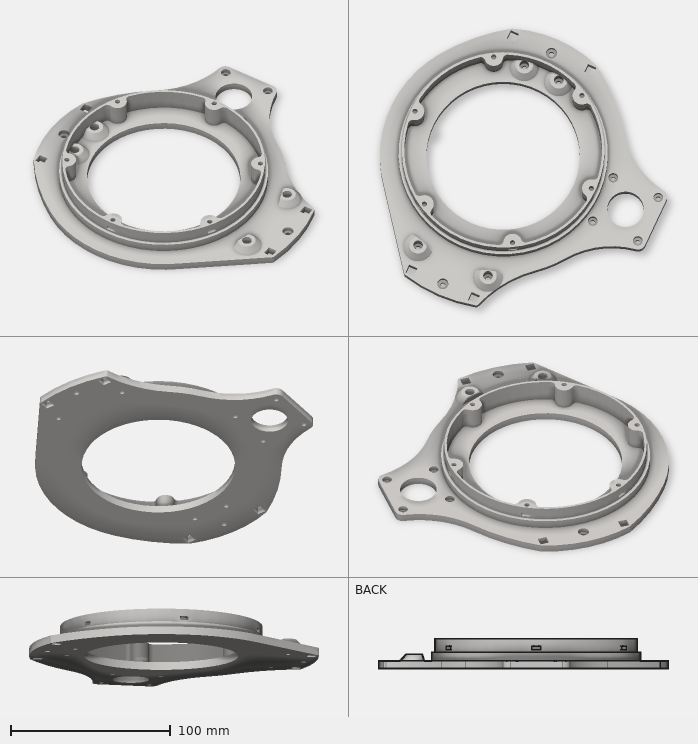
import cadquery as cq
import math

plate_height = 5.0
step_height = 10.4
total_height = 18.7
standoff_height = 9.1

rim_radius = 77.1
left_end_radius = 82.8
right_end_radius = 98.6
neck_top_y = 104.8
neck_blend_radius = 57.3
neck_blend_angle = 54.8
neck_corner_fillet = 4.7
ear_blend_radius = 74.5
ear_blend_angle = 39.7
ear_line_angle = -50.3
ear_lower_corner_angle = -14.4
ear_corner_fillet = 2.2
left_blend_radius = 129.2
left_blend_angle = 180 - neck_blend_angle

opening_diameter = 96.0
step_diameter = 130.8
ring_diameter = 126.8
ring_inner_radius = 61.9

boss_count = 6
first_boss_angle = 90
boss_circle_radius = 60.5
boss_radius = 5.8
boss_fillet = 3.0
boss_hole_diameter = 3.3
nut_slot_width = 5.6
nut_slot_bottom = 11.8
nut_slot_top = 14.2
nut_slot_inner_radius = 57.9

motor_y = 84.0
motor_opening_diameter = 23.0
motor_screw_spacing = 31.0

screw_diameter = 3.0
motor_head_diameter = 6.0
standoff_head_diameter = 6.0
end_head_diameter = 7.0
end_screw_diameter = 3.3
head_floor = 2.0
end_screw_left_x = -73.1
end_screw_right_x = 91.3

square_size = 5.6
left_square = (-73.3, 26.5)
right_square = (91.5, 21.5)

standoff_base_radius = 9.3
standoff_top_radius = 5.5
standoff_flat_offset = 3.5
left_standoff = (-58.0, 11.8)
right_standoff = (75.9, 24.0)


def polar(radius, angle):
    a = math.radians(angle)
    return (radius * math.cos(a), radius * math.sin(a))


def mirror_y(point):
    return (point[0], -point[1])


def mirror_x(point):
    return (-point[0], point[1])


def arc_middle(center, start, end):
    """Middle of the shorter arc about center from start to end."""
    radius = math.dist(center, start)
    dx = (start[0] + end[0]) / 2 - center[0]
    dy = (start[1] + end[1]) / 2 - center[1]
    scale = radius / math.hypot(dx, dy)
    return (center[0] + dx * scale, center[1] + dy * scale)


def meet_angle(center_distance, blend_radius, end_radius):
    """Angle at the origin between a blend center and the blend's point on the end circle."""
    cosine = (center_distance**2 + end_radius**2 - blend_radius**2) / (2 * center_distance * end_radius)
    return math.degrees(math.acos(cosine))


origin = (0, 0)

neck_center = polar(rim_radius + neck_blend_radius, neck_blend_angle)
neck_start = polar(rim_radius, neck_blend_angle)
neck_rise = neck_center[1] - neck_top_y
neck_corner = (neck_center[0] - math.sqrt(neck_blend_radius**2 - neck_rise**2), neck_top_y)

ear_center_distance = rim_radius + ear_blend_radius
ear_center = polar(ear_center_distance, ear_blend_angle)
ear_start = polar(rim_radius, ear_blend_angle)
ear_meet = meet_angle(ear_center_distance, ear_blend_radius, right_end_radius)
ear_upper_corner = polar(right_end_radius, ear_blend_angle - ear_meet)
ear_lower_corner = polar(right_end_radius, ear_lower_corner_angle)
ear_line_end = polar(rim_radius, ear_line_angle)

left_center_distance = left_blend_radius - rim_radius
left_center = polar(left_center_distance, left_blend_angle - 180)
left_start = polar(rim_radius, left_blend_angle)
left_meet = meet_angle(left_center_distance, left_blend_radius, left_end_radius)
left_corner = polar(left_end_radius, left_blend_angle - 180 - left_meet)


def make_plate():
    neck_middle = arc_middle(neck_center, neck_start, neck_corner)
    left_middle = arc_middle(left_center, left_start, left_corner)
    outline = (
        cq.Workplane("XY")
        .moveTo(*mirror_x(neck_corner))
        .lineTo(*neck_corner)
        .threePointArc(neck_middle, neck_start)
        .threePointArc(arc_middle(origin, neck_start, ear_start), ear_start)
        .threePointArc(arc_middle(ear_center, ear_start, ear_upper_corner), ear_upper_corner)
        .threePointArc((right_end_radius, 0), ear_lower_corner)
        .lineTo(*ear_line_end)
        .threePointArc((0, -rim_radius), mirror_y(left_start))
        .threePointArc(mirror_y(left_middle), mirror_y(left_corner))
        .threePointArc((-left_end_radius, 0), left_corner)
        .threePointArc(left_middle, left_start)
        .threePointArc(mirror_x(neck_middle), mirror_x(neck_corner))
        .close()
    )
    plate = outline.extrude(plate_height)
    corner_fillets = [
        (neck_corner, neck_corner_fillet),
        (mirror_x(neck_corner), neck_corner_fillet),
        (ear_upper_corner, ear_corner_fillet),
        (ear_lower_corner, ear_corner_fillet),
    ]
    for (x, y), radius in corner_fillets:
        corner = cq.NearestToPointSelector((x, y, plate_height / 2))
        plate = plate.edges("|Z").edges(corner).fillet(radius)
    return plate


def make_ring():
    """Stepped ring wall with the screw bosses blended into its inside."""
    step = cq.Workplane("XY").circle(step_diameter / 2).extrude(step_height)
    wall = cq.Workplane("XY").circle(ring_diameter / 2).extrude(total_height)
    cavity = (
        cq.Workplane("XY").workplane(offset=plate_height)
        .circle(ring_inner_radius).extrude(total_height)
    )
    bosses = (
        cq.Workplane("XY").workplane(offset=plate_height)
        .polarArray(boss_circle_radius, first_boss_angle, 360, boss_count)
        .circle(boss_radius).extrude(total_height)
    )
    cavity = cavity.cut(bosses).edges("|Z").fillet(boss_fillet)
    return step.union(wall).cut(cavity)


def cut_boss_holes(body):
    """Screw hole in each boss, down to a nut slot open to the outside of the ring."""
    slot_length = step_diameter / 2 - nut_slot_inner_radius
    slot_height = nut_slot_top - nut_slot_bottom
    slot = (
        cq.Workplane("XY")
        .box(slot_length, nut_slot_width, slot_height, centered=(False, True, False))
        .translate((nut_slot_inner_radius, 0, nut_slot_bottom))
    )
    hole = (
        cq.Workplane("XY").workplane(offset=nut_slot_bottom)
        .center(boss_circle_radius, 0)
        .circle(boss_hole_diameter / 2).extrude(total_height - nut_slot_bottom)
    )
    cutter = slot.union(hole)
    for i in range(boss_count):
        angle = first_boss_angle + i * 360 / boss_count
        body = body.cut(cutter.rotate((0, 0, 0), (0, 0, 1), angle))
    return body


def make_standoff(center, flat_angle):
    """Cone with a flat on its -X side, turned by flat_angle about the cone's axis."""
    cone_height = standoff_height - plate_height
    cone = (
        cq.Workplane("XY").circle(standoff_base_radius)
        .workplane(offset=cone_height).circle(standoff_top_radius).loft()
    )
    base_diameter = 2 * standoff_base_radius
    flat_side = (
        cq.Workplane("XY")
        .box(base_diameter, base_diameter, cone_height, centered=(False, True, False))
        .translate((-standoff_flat_offset - base_diameter, 0, 0))
    )
    return (
        cone.cut(flat_side)
        .rotate((0, 0, 0), (0, 0, 1), flat_angle)
        .translate((center[0], center[1], plate_height))
    )


def cut_screws(body, points, top, diameter, head_diameter):
    """Counterbored holes from the height top down through the plate."""
    through = cq.Workplane("XY").pushPoints(points).circle(diameter / 2).extrude(top)
    heads = (
        cq.Workplane("XY").workplane(offset=head_floor)
        .pushPoints(points).circle(head_diameter / 2).extrude(top - head_floor)
    )
    return body.cut(through).cut(heads)


result = make_plate().union(make_ring())
right_flat_angle = math.degrees(math.atan2(right_standoff[1], right_standoff[0]))
standoffs = [
    (left_standoff, 0),
    (mirror_y(left_standoff), 0),
    (right_standoff, right_flat_angle),
    (mirror_y(right_standoff), -right_flat_angle),
]
for center, flat_angle in standoffs:
    result = result.union(make_standoff(center, flat_angle))

result = result.cut(cq.Workplane("XY").circle(opening_diameter / 2).extrude(total_height))
motor_opening = cq.Workplane("XY").center(0, motor_y).circle(motor_opening_diameter / 2)
result = result.cut(motor_opening.extrude(plate_height))

result = cut_boss_holes(result)
half_spacing = motor_screw_spacing / 2
motor_points = [(sx * half_spacing, motor_y + sy * half_spacing) for sx in (-1, 1) for sy in (-1, 1)]
end_points = [(end_screw_left_x, 0), (end_screw_right_x, 0)]
standoff_points = [center for center, _ in standoffs]
result = cut_screws(result, motor_points, plate_height, screw_diameter, motor_head_diameter)
result = cut_screws(result, end_points, plate_height, end_screw_diameter, end_head_diameter)
result = cut_screws(result, standoff_points, standoff_height, screw_diameter, standoff_head_diameter)

square_points = [left_square, mirror_y(left_square), right_square, mirror_y(right_square)]
squares = cq.Workplane("XY").pushPoints(square_points).rect(square_size, square_size)
result = result.cut(squares.extrude(plate_height))